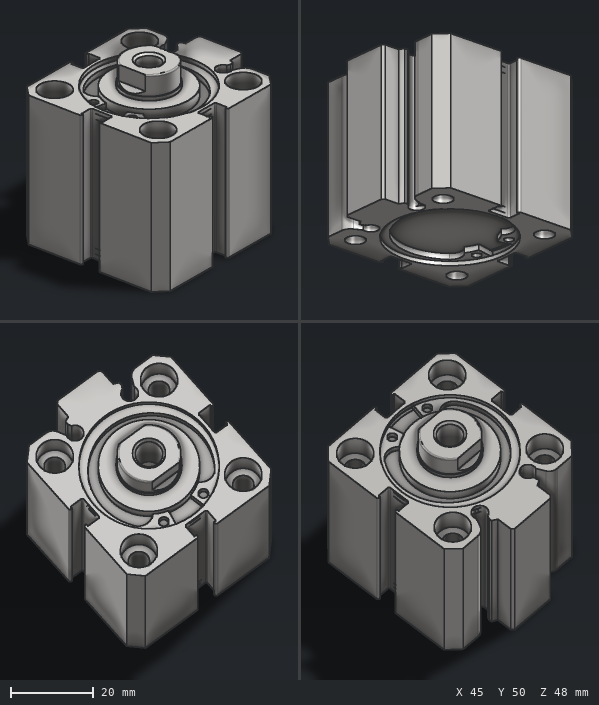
import cadquery as cq
import math


half_width = 22.5
housing_height = 41.0
corner_chamfer = 3.25
bore_radius = 17.0

hole_offset = 16.25
hole_diameter = 5.2
counterbore_diameter = 9.0
counterbore_depth = 6.0

slot_half_width = 3.35
slot_floor = 18.0
slot_floor_fillet = 0.4
slot_mouth_half_width = 2.7
slot_lip = 0.8
slot_lip_fillet = 0.5

rail_half_width = 7.0
rail_top = 27.5
rail_chamfer = 0.7
groove_x = 8.5
groove_y = 18.0
groove_radius = 2.1
groove_shoulder_x = 12.3
groove_shoulder_fillet = 2.75
throat_outer = (10.45, 18.7)
throat_inner = (7.95, 20.0)
lip_x = 8.4
lip_low_y = 20.95
lip_high_y = 21.8

ring_depth = 1.2
ring_thickness = 1.6
ring_radius = 17.85
ring_inner_radius = 15.4
ring_inner_offset = 0.95
lug_inner_radius = 12.5
lug_half_angle = 34.0
ring_turn = 0.8
scallop_x = 9.5
scallop_y = 11.5
scallop_start_angle = 36.6
gap_inner_half_width = 3.35
gap_outer_half_width = 4.3
gap_inner_y = 11.8
gap_outer_y = 16.3
lug_hole_x = 6.1
lug_hole_y = 13.6
lug_hole_diameter = 2.5

cover_thickness = 5.0
boss_radius = 12.3
cover_seat = ring_depth + ring_thickness
ring_bottoms = [ring_depth, housing_height - cover_seat]

rod_radius = 8.0
rod_top = 48.0
neck_radius = 7.75
neck_bottom = 42.1
rod_top_fillet = 0.4
flat_half_width = 6.5
flat_depth = 4.5
tap_diameter = 6.7
tap_depth = 12.0
tap_chamfer = 0.65
drill_point_angle = 118.0


def slot_cutter():
    """Undercut slot that opens on the -Y face."""
    cavity_depth = half_width - slot_lip - slot_floor
    cavity = (
        cq.Workplane("XY")
        .box(2 * slot_half_width, cavity_depth, housing_height, centered=(True, False, False))
        .translate((0, slot_lip - half_width, 0))
        .edges("|Z and >Y")
        .fillet(slot_floor_fillet)
    )
    return cavity.union(mouth_cutter())


def mouth_cutter():
    """Mouth between the slot lips, flared by the round on each lip's outer corner."""
    flare = slot_mouth_half_width + slot_lip_fillet
    arc_inset = slot_lip_fillet * (1 - math.cos(math.radians(45)))
    middle = slot_mouth_half_width + arc_inset
    face_y = -half_width
    middle_y = face_y + arc_inset
    return (
        cq.Workplane("XY")
        .moveTo(flare, face_y)
        .threePointArc((middle, middle_y), (slot_mouth_half_width, face_y + slot_lip_fillet))
        .lineTo(slot_mouth_half_width, face_y + 2 * slot_lip)
        .lineTo(-slot_mouth_half_width, face_y + 2 * slot_lip)
        .lineTo(-slot_mouth_half_width, face_y + slot_lip_fillet)
        .threePointArc((-middle, middle_y), (-flare, face_y))
        .close()
        .extrude(housing_height)
    )


def sensor_groove(side):
    """Round groove and its throat; side is -1 for -X and +1 for +X."""
    throat = [
        (groove_shoulder_x, half_width),
        throat_outer,
        (groove_x, groove_y),
        throat_inner,
        (lip_x, lip_low_y),
        (lip_x, lip_high_y),
        (rail_half_width, half_width),
    ]
    cutter = (
        cq.Workplane("XY")
        .polyline([(side * x, y) for x, y in throat])
        .close()
        .extrude(housing_height)
    )
    channel = (
        cq.Workplane("XY")
        .center(side * groove_x, groove_y)
        .circle(groove_radius)
        .extrude(housing_height)
    )
    return cutter.union(channel)


def shoulder_edges():
    """Selects the two upright edges where the throats meet the +Y face."""
    reach = 0.25
    boxes = [
        cq.selectors.BoxSelector(
            (side * groove_shoulder_x - reach, half_width - reach, 0),
            (side * groove_shoulder_x + reach, half_width + reach, housing_height),
        )
        for side in (-1, 1)
    ]
    return boxes[0] + boxes[1]


def make_housing():
    body = (
        cq.Workplane("XY")
        .rect(2 * half_width, 2 * half_width)
        .extrude(housing_height)
        .edges("|Z")
        .chamfer(corner_chamfer)
    )
    rail = (
        cq.Workplane("XY")
        .box(2 * rail_half_width, rail_top - groove_y, housing_height, centered=(True, False, False))
        .translate((0, groove_y, 0))
        .edges("|Z and >Y")
        .chamfer(rail_chamfer)
    )
    body = body.union(rail)
    for side in (-1, 1):
        body = body.cut(sensor_groove(side))
    body = body.edges(shoulder_edges()).fillet(groove_shoulder_fillet)

    for turn in (-90, 0, 90):
        body = body.cut(slot_cutter().rotate((0, 0, 0), (0, 0, 1), turn))

    body = (
        body.faces(">Z")
        .workplane(origin=(0, 0, housing_height))
        .rect(2 * hole_offset, 2 * hole_offset, forConstruction=True)
        .vertices()
        .cboreHole(hole_diameter, counterbore_diameter, counterbore_depth)
    )
    body = body.cut(cq.Workplane("XY").circle(bore_radius).extrude(housing_height))
    for bottom in ring_bottoms:
        ring_groove = cq.Workplane("XY", origin=(0, 0, bottom)).circle(ring_radius).extrude(ring_thickness)
        body = body.cut(ring_groove)
    return body


def make_ring(bottom):
    """C-shaped retaining ring with an eccentric opening and two drilled lugs near -Y, turned clockwise."""
    start = math.radians(scallop_start_angle)
    start_x = ring_inner_radius * math.cos(start)
    start_y = -ring_inner_offset - ring_inner_radius * math.sin(start)
    lug = math.radians(lug_half_angle)
    lug_x = lug_inner_radius * math.sin(lug)
    lug_y = -lug_inner_radius * math.cos(lug)

    plane = cq.Workplane("XY", origin=(0, 0, bottom))
    opening = (
        plane.moveTo(start_x, start_y)
        .threePointArc((0, ring_inner_radius - ring_inner_offset), (-start_x, start_y))
        .threePointArc((-scallop_x, -scallop_y), (-lug_x, lug_y))
        .threePointArc((0, -lug_inner_radius), (lug_x, lug_y))
        .threePointArc((scallop_x, -scallop_y), (start_x, start_y))
        .close()
        .extrude(ring_thickness)
    )
    spread = (gap_outer_half_width - gap_inner_half_width) / (gap_outer_y - gap_inner_y)
    far_y = 2 * ring_radius
    far_half_width = gap_outer_half_width + spread * (far_y - gap_outer_y)
    near_y = lug_inner_radius / 2
    near_half_width = gap_inner_half_width - spread * (gap_inner_y - near_y)
    gap = (
        plane.polyline(
            [
                (-far_half_width, -far_y),
                (far_half_width, -far_y),
                (near_half_width, -near_y),
                (-near_half_width, -near_y),
            ]
        )
        .close()
        .extrude(ring_thickness)
    )
    lug_holes = (
        plane.pushPoints([(-lug_hole_x, -lug_hole_y), (lug_hole_x, -lug_hole_y)])
        .circle(lug_hole_diameter / 2)
        .extrude(ring_thickness)
    )
    ring = plane.circle(ring_radius).extrude(ring_thickness).cut(opening).cut(gap).cut(lug_holes)
    return ring.rotate((0, 0, 0), (0, 0, 1), -ring_turn)


def make_rod_cover():
    """Flange under the upper ring, with a boss flush with the housing top and a rod hole."""
    seat = housing_height - cover_seat
    flange_bottom = seat - cover_thickness
    flange = cq.Workplane("XY", origin=(0, 0, flange_bottom)).circle(bore_radius).extrude(cover_thickness)
    boss = cq.Workplane("XY", origin=(0, 0, seat)).circle(boss_radius).extrude(cover_seat)
    return flange.union(boss).faces(">Z").workplane().hole(2 * rod_radius)


def make_end_cover():
    """Plain disc that closes the bore above the lower ring."""
    return cq.Workplane("XY", origin=(0, 0, cover_seat)).circle(bore_radius).extrude(cover_thickness)


def flat_cutter():
    """Wrench flat facing -Y, with a 45 degree run-out at its lower end."""
    flat_bottom = rod_top - flat_depth
    outer = 2 * rod_radius
    return (
        cq.Workplane("YZ")
        .polyline(
            [
                (-flat_half_width, rod_top),
                (-flat_half_width, flat_bottom),
                (-outer, flat_bottom - (outer - flat_half_width)),
                (-outer, rod_top),
            ]
        )
        .close()
        .extrude(rod_radius, both=True)
    )


def make_rod():
    """Rod resting on the end cover, with two wrench flats and a tapped hole in its top."""
    foot = cover_seat + cover_thickness
    shaft = cq.Workplane("XY", origin=(0, 0, foot)).circle(rod_radius).extrude(neck_bottom - foot)
    neck = (
        cq.Workplane("XY", origin=(0, 0, neck_bottom))
        .circle(neck_radius)
        .extrude(rod_top - neck_bottom)
        .faces(">Z")
        .fillet(rod_top_fillet)
    )
    rod = shaft.union(neck)
    for turn in (0, 180):
        rod = rod.cut(flat_cutter().rotate((0, 0, 0), (0, 0, 1), turn))

    tap_radius = tap_diameter / 2
    point_depth = tap_radius / math.tan(math.radians(drill_point_angle / 2))
    tapped_hole = (
        cq.Workplane("XZ")
        .polyline(
            [
                (0, rod_top),
                (tap_radius + tap_chamfer, rod_top),
                (tap_radius, rod_top - tap_chamfer),
                (tap_radius, rod_top - tap_depth),
                (0, rod_top - tap_depth - point_depth),
            ]
        )
        .close()
        .revolve(360, (0, 0, 0), (0, 1, 0))
    )
    return rod.cut(tapped_hole)


housing = make_housing()
rings = [make_ring(bottom) for bottom in ring_bottoms]
rod_cover = make_rod_cover()
end_cover = make_end_cover()
rod = make_rod()

result = cq.Compound.makeCompound(
    [housing.val(), rod_cover.val(), end_cover.val(), rod.val(), *[ring.val() for ring in rings]]
)